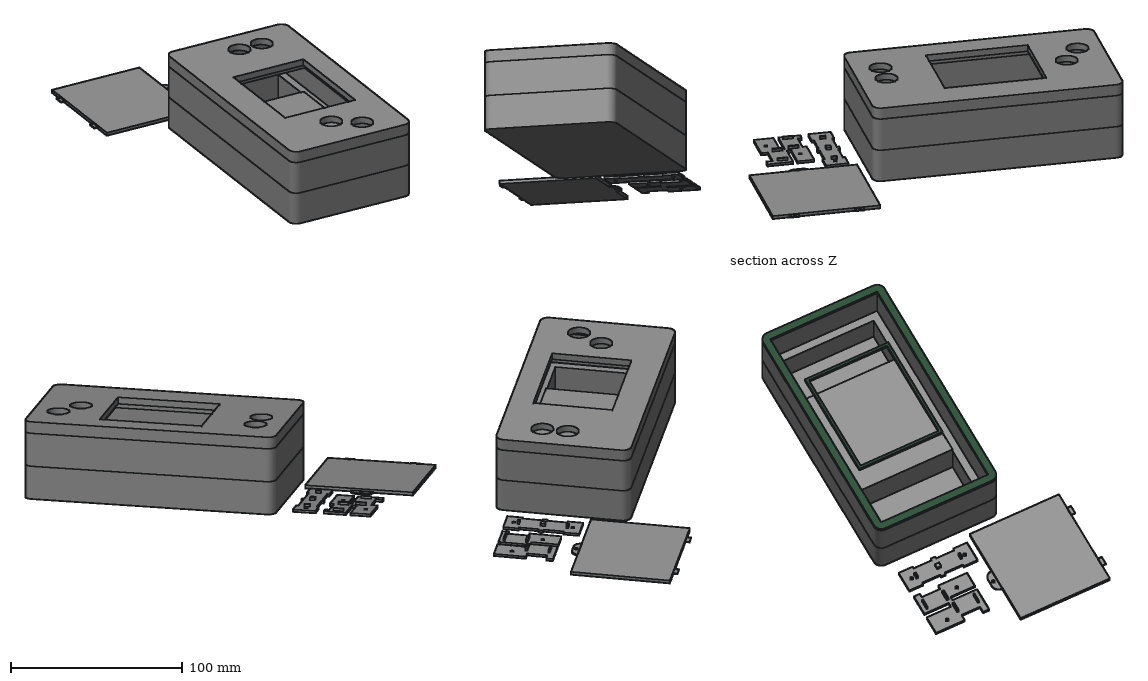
import cadquery as cq
case_length = 150.0
case_width = 80.0
case_corner = 5.0
base_height = 20.0
frame_height = 20.0
lid_height = 7.0
frame_top = base_height + frame_height
case_top = frame_top + lid_height
case_right = case_length / 2

base_wall = 10.0
base_floor = 2.0
battery_length = 70.0
battery_top = 22.0

side_wall = 5.0

lid_skin = 4.0
lid_ceiling = case_top - lid_skin
window_length = 61.0
window_width = 47.0
window_x = 2.25
window_y = 2.4
screen_margin = 2.0
collar_wall = 2.0
button_diameter = 13.0
button_upper_y = 15.0
button_lower_y = 0.0
button_left_x = -58.0
button_outer_x = 60.0
button_inner_x = 50.0

overall_length = 219.49
overall_width = 119.19
door_length = 64.5
door_width = 58.65
door_thickness = 2.0
hook_length = 5.5
hook_reach = 2.7
hook_inset = 10.0
hook_bottom = 1.0
hook_top = 1.5
tongue_length = 13.5
tongue_reach = 4.5
tongue_thickness = 0.75
tongue_corner = 4.45
tongue_offset = -2.0
tongue_hole_gap = 2.3
screw_diameter = 1.8
door_left = case_right - overall_length
door_front = case_width / 2 - overall_width + hook_reach
door_back = door_front + door_width

plate_thickness = 1.5
rib_top = 3.0
plate_hole_diameter = 1.8

slotted_left = -130.4
slotted_front = -4.5
slotted_length = 28.0
slotted_width = 35.0
slotted_bridge = 3.0
slotted_foot = 4.0
slotted_slot = (slotted_width - slotted_bridge) / 2
upper_slot_left = 11.9
upper_slot_right = 14.7
lower_slot_left = 15.4
lower_slot_right = 17.9
left_notch_depth = 4.0
right_notch_depth = 2.5
left_hole_x = 5.0
left_hole_y = 25.1
right_hole_x = 21.95
right_hole_y = 9.95
slotted_rib_length = 6.0
thin_rib = 0.8
thick_rib = 1.2
left_rib_x = 9.85
right_rib_x = 19.85
left_low_rib_y = 3.5
left_high_rib_y = 17.0
right_low_rib_y = 18.6
right_high_rib_y = 32.0

waisted_x = -90.85
waisted_y = 8.5
waisted_length = 13.5
waisted_width = 45.0
waist_length = 11.0
waist_end = 9.2
waist_ear = 3.0
waisted_hole_offset = 17.5
waisted_rib_offset = 14.5
waisted_rib_length = 3.2
post_size = 2.8


def block(x0, x1, y0, y1, z0, z1):
    """Box between two opposite corners."""
    box = cq.Workplane("XY").box(x1 - x0, y1 - y0, z1 - z0, centered=False)
    return box.translate((x0, y0, z0))


def centred_block(x, y, length, width, z0, z1):
    """Box centred on (x, y) between two heights."""
    return block(x - length / 2, x + length / 2, y - width / 2, y + width / 2, z0, z1)


def drill(points, diameter, z0, z1):
    """Vertical cylinders used to cut round holes."""
    return cq.Workplane("XY").workplane(offset=z0).pushPoints(points).circle(diameter / 2).extrude(z1 - z0)


def case_slab(z0, z1):
    """Solid layer of the case with rounded vertical corners."""
    return centred_block(0, 0, case_length, case_width, z0, z1).edges("|Z").fillet(case_corner)


def cavity(wall, z0, z1):
    """Square-cornered space left inside walls of the given thickness."""
    return centred_block(0, 0, case_length - 2 * wall, case_width - 2 * wall, z0, z1)


def make_base():
    body = case_slab(0, base_height).cut(cavity(base_wall, base_floor, base_height))
    battery_width = case_width - 2 * base_wall
    return body.union(centred_block(0, 0, battery_length, battery_width, base_floor, battery_top))


def make_frame():
    return case_slab(base_height, frame_top).cut(cavity(side_wall, base_height, frame_top))


def window_block(margin, z0, z1):
    """Block over the window, grown by a margin on every side."""
    length = window_length + 2 * margin
    width = window_width + 2 * margin
    return centred_block(window_x, window_y, length, width, z0, z1)


def make_lid():
    body = case_slab(frame_top, case_top).cut(cavity(side_wall, frame_top, lid_ceiling))
    collar = window_block(screen_margin + collar_wall, frame_top, lid_ceiling)
    collar = collar.cut(window_block(screen_margin, frame_top, lid_ceiling))
    body = body.union(collar).cut(window_block(0, lid_ceiling, case_top))
    buttons = [
        (button_left_x, button_upper_y),
        (button_left_x, button_lower_y),
        (button_outer_x, button_upper_y),
        (button_inner_x, button_lower_y),
    ]
    return body.cut(drill(buttons, button_diameter, lid_ceiling, case_top))


def make_door():
    door_right = door_left + door_length
    body = block(door_left, door_right, door_front, door_back, 0, door_thickness)
    for hook_left in (door_left + hook_inset, door_right - hook_inset - hook_length):
        hook_right = hook_left + hook_length
        hook = block(hook_left, hook_right, door_front - hook_reach, door_front, hook_bottom, hook_top)
        body = body.union(hook)
    tongue_x = door_left + door_length / 2 + tongue_offset
    tongue_left = tongue_x - tongue_length / 2
    tongue_right = tongue_x + tongue_length / 2
    tongue = block(tongue_left, tongue_right, door_back, door_back + tongue_reach, 0, tongue_thickness)
    tongue = tongue.edges("|Z and >Y").fillet(tongue_corner)
    screw_hole = drill([(tongue_x, door_back + tongue_hole_gap)], screw_diameter, 0, tongue_thickness)
    return body.union(tongue).cut(screw_hole)


def make_slotted_plate():
    slot_top = slotted_slot
    bridge_top = slotted_slot + slotted_bridge
    body = block(0, slotted_length, 0, slotted_width, 0, plate_thickness)
    openings = [
        (upper_slot_left, upper_slot_right, bridge_top, slotted_width),
        (lower_slot_left, lower_slot_right, 0, slot_top),
        (0, left_notch_depth, slotted_foot, slot_top),
        (slotted_length - right_notch_depth, slotted_length, bridge_top, slotted_width - slotted_foot),
    ]
    for x0, x1, y0, y1 in openings:
        body = body.cut(block(x0, x1, y0, y1, 0, plate_thickness))
    ribs = [
        (left_rib_x, left_low_rib_y, thin_rib),
        (left_rib_x, left_high_rib_y, thick_rib),
        (right_rib_x, right_low_rib_y, thick_rib),
        (right_rib_x, right_high_rib_y, thin_rib),
    ]
    for x, y, width in ribs:
        body = body.union(centred_block(x, y, slotted_rib_length, width, plate_thickness, rib_top))
    holes = [(left_hole_x, left_hole_y), (right_hole_x, right_hole_y)]
    body = body.cut(drill(holes, plate_hole_diameter, 0, plate_thickness))
    return body.translate((slotted_left, slotted_front, 0))


def make_waisted_plate():
    body = centred_block(0, 0, waist_length, waisted_width, 0, plate_thickness)
    end_y = (waisted_width - waist_end) / 2
    for y, width in ((-end_y, waist_end), (0, waist_ear), (end_y, waist_end)):
        body = body.union(centred_block(0, y, waisted_length, width, 0, plate_thickness))
    for side in (-1, 1):
        rib_y = side * waisted_rib_offset
        body = body.union(centred_block(0, rib_y, waisted_rib_length, thick_rib, plate_thickness, rib_top))
    body = body.union(centred_block(0, 0, post_size, post_size, plate_thickness, rib_top))
    holes = [(0, -waisted_hole_offset), (0, waisted_hole_offset)]
    body = body.cut(drill(holes, plate_hole_diameter, 0, plate_thickness))
    return body.translate((waisted_x, waisted_y, 0))


base = make_base()
frame = make_frame()
lid = make_lid()
door = make_door()
slotted_plate = make_slotted_plate()
waisted_plate = make_waisted_plate()

bodies = [base, frame, lid, door, slotted_plate, waisted_plate]
result = cq.Compound.makeCompound([body.val() for body in bodies])